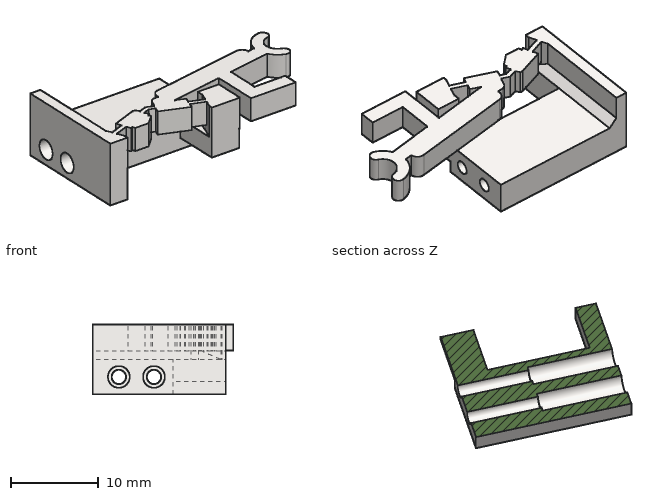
import cadquery as cq
import math

total_height = 8.0
plate_height = total_height / 2
linkage_thickness = 3.0
linkage_bottom = total_height - linkage_thickness
frame_width = 15.2
plate_width = 9.15
plate_length = 18.42
rear_leg_front = 14.5
rear_leg_thickness = 2.5

wall_thickness = 1.45
foot_rise = linkage_bottom - plate_height
foot_depth = wall_thickness + foot_rise

block_left = 11.2
block_front = 15.5
block_back = 18.5

rear_root_left = (13.15, 15.1)
rear_root_right = (13.7, 14.9)
front_root_left = (13.15, 1.82)
front_root_right = (13.7, 2.03)
root_overlap = 0.3

fork_center = (7.07, 30.0)
fork_radius = 2.35
prong_radius = 0.73
left_prong_angle = 190
right_prong_angle = 341

hook_width = 2.0
hook_right = 16.08
hook_front = 19.42
hook_back = 25.82
hook_root_x = 9.1

hole_positions_x = (3.0, 7.0)
hole_height = 2.0
hole_diameter = 1.6
counterbore_diameter = 2.5
counterbore_depth = 10.0


def box(x0, x1, y0, y1, z0, z1):
    """Box between two opposite corners."""
    return cq.Workplane("XY").box(x1 - x0, y1 - y0, z1 - z0, centered=False).translate((x0, y0, z0))


def base_frame():
    """L-shaped plate with a thinner leg along its rear edge, level with its top."""
    plate = box(0, plate_width, 0, plate_length, 0, plate_height)
    rear_leg = box(0, frame_width, rear_leg_front, plate_length, plate_height - rear_leg_thickness, plate_height)
    return plate.union(rear_leg)


def front_wall():
    """Upright wall with a 45 degree foot and a full-depth flexure anchor at its right end."""
    footed_wall = (
        cq.Workplane("YZ")
        .moveTo(0, 0)
        .lineTo(foot_depth, 0)
        .lineTo(foot_depth, plate_height)
        .lineTo(wall_thickness, linkage_bottom)
        .lineTo(wall_thickness, total_height)
        .lineTo(0, total_height)
        .close()
        .extrude(frame_width)
    )
    anchor_outline = [
        (12.4, 0),
        (12.4, wall_thickness),
        front_root_left,
        front_root_right,
        (14.65, foot_depth),
        (frame_width, foot_depth),
        (frame_width, 0),
    ]
    anchor = cq.Workplane("XY").polyline(anchor_outline).close().extrude(total_height)
    return footed_wall.union(anchor)


def rear_anchor():
    """Block on the rear leg that holds the second flexure."""
    outline = [
        (block_left, block_back),
        (block_left, block_front),
        (12.08, block_front),
        rear_root_left,
        rear_root_right,
        (14.7, rear_leg_front),
        (frame_width, rear_leg_front),
        (frame_width, block_back),
    ]
    height = total_height - plate_height
    return cq.Workplane("XY", origin=(0, 0, plate_height)).polyline(outline).close().extrude(height)


def linkage_plane():
    return cq.Workplane("XY", origin=(0, 0, linkage_bottom))


def arm_and_links():
    """Tilted arm, lever body and intermediate link, joined by thin flexures."""
    outline = (
        linkage_plane()
        .moveTo(8.6, 27.37)
        .lineTo(11.23, 12.2)
        .lineTo(11.75, 13.47)
        .lineTo(12.4, 13.2)
        .lineTo(*rear_root_left)
        .lineTo(rear_root_left[0], rear_root_left[1] + root_overlap)
        .lineTo(rear_root_right[0], rear_root_right[1] + root_overlap)
        .lineTo(*rear_root_right)
        .lineTo(13.02, 13.02)
        .lineTo(13.68, 12.77)
        .lineTo(12.23, 9.0)
        .lineTo(11.5, 9.25)
        .lineTo(11.23, 8.5)
        .lineTo(11.53, 7.62)
        .lineTo(12.15, 7.85)
        .lineTo(12.3, 7.62)
        .lineTo(12.65, 7.75)
        .lineTo(13.87, 6.45)
        .lineTo(13.87, 4.58)
        .lineTo(13.47, 4.45)
        .lineTo(13.62, 4.15)
        .lineTo(13.02, 3.9)
        .lineTo(*front_root_right)
        .lineTo(front_root_right[0], front_root_right[1] - root_overlap)
        .lineTo(front_root_left[0], front_root_left[1] - root_overlap)
        .lineTo(*front_root_left)
        .lineTo(12.4, 3.7)
        .lineTo(11.7, 3.43)
        .lineTo(10.45, 6.77)
        .lineTo(10.45, 7.1)
        .lineTo(10.95, 7.43)
        .lineTo(10.55, 8.5)
        .lineTo(10.95, 9.5)
        .lineTo(10.13, 9.83)
        .threePointArc((9.68, 10.1), (9.45, 10.55))
        .lineTo(9.4, 11.2)
        .lineTo(9.1, 11.2)
        .threePointArc((8.5, 11.45), (8.15, 12.0))
        .lineTo(5.95, 24.95)
        .threePointArc((6.13, 25.67), (6.8, 26.03))
        .lineTo(6.58, 27.37)
        .close()
    )
    return outline.extrude(linkage_thickness)


def fork_point(radius, angle):
    """Point on a circle about the fork centre, angle in degrees."""
    turn = math.radians(angle)
    return (fork_center[0] + radius * math.cos(turn), fork_center[1] + radius * math.sin(turn))


def fork():
    """Ring sector with round prong ends."""
    outer = fork_radius + prong_radius
    inner = fork_radius - prong_radius
    middle_angle = (left_prong_angle + right_prong_angle) / 2
    sector = (
        linkage_plane()
        .moveTo(*fork_point(outer, left_prong_angle))
        .threePointArc(fork_point(outer, middle_angle), fork_point(outer, right_prong_angle))
        .lineTo(*fork_point(inner, right_prong_angle))
        .threePointArc(fork_point(inner, middle_angle), fork_point(inner, left_prong_angle))
        .close()
        .extrude(linkage_thickness)
    )
    prong_centers = [fork_point(fork_radius, angle) for angle in (left_prong_angle, right_prong_angle)]
    prong_ends = linkage_plane().pushPoints(prong_centers).circle(prong_radius).extrude(linkage_thickness)
    return sector.union(prong_ends)


def hook():
    """Bar leaving the arm to the right and turning toward the rear."""
    bar = box(hook_root_x, hook_right, hook_front, hook_front + hook_width, linkage_bottom, total_height)
    finger = box(hook_right - hook_width, hook_right, hook_front, hook_back, linkage_bottom, total_height)
    return bar.union(finger)


def drill_mounting_holes(body):
    """Through holes along Y, counterbored from the front face."""
    centers = [(x, hole_height) for x in hole_positions_x]
    front_face = cq.Workplane("XZ").pushPoints(centers)
    bores = front_face.circle(hole_diameter / 2).extrude(-plate_length)
    counterbores = front_face.circle(counterbore_diameter / 2).extrude(-counterbore_depth)
    return body.cut(bores).cut(counterbores)


frame = drill_mounting_holes(base_frame().union(front_wall()))
linkage = arm_and_links().union(fork()).union(hook())
result = frame.union(rear_anchor()).union(linkage)